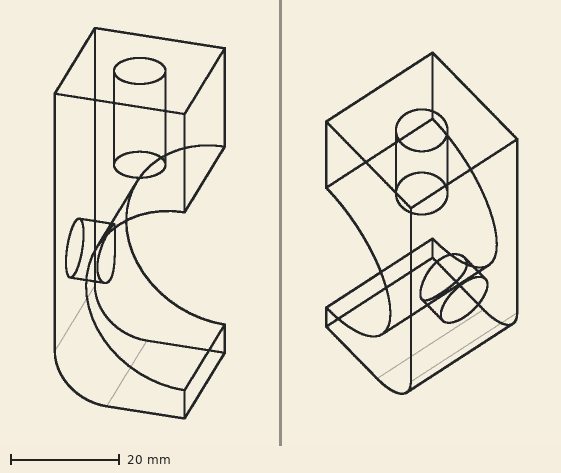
import cadquery as cq

width = 25.0
height = 65.0
seat_radius = 19.0
seat_height = width
corner_radius = 10.0
bolt_hole_diameter = 11.0
top_hole_diameter = 9.5
top_hole_depth = 20.0

block = cq.Workplane("XY").box(width, width, height, centered=(True, True, False))
block = block.faces("<Z").edges("<X").fillet(corner_radius)

seat = (
    cq.Workplane("XZ")
    .center(width / 2, seat_height)
    .circle(seat_radius)
    .extrude(width, both=True)
)

bolt_hole = (
    cq.Workplane("YZ")
    .center(0, seat_height)
    .circle(bolt_hole_diameter / 2)
    .extrude(width, both=True)
)

top_hole = (
    cq.Workplane("XY", origin=(0, 0, height))
    .circle(top_hole_diameter / 2)
    .extrude(-top_hole_depth)
)

result = block.cut(seat).cut(bolt_hole).cut(top_hole)